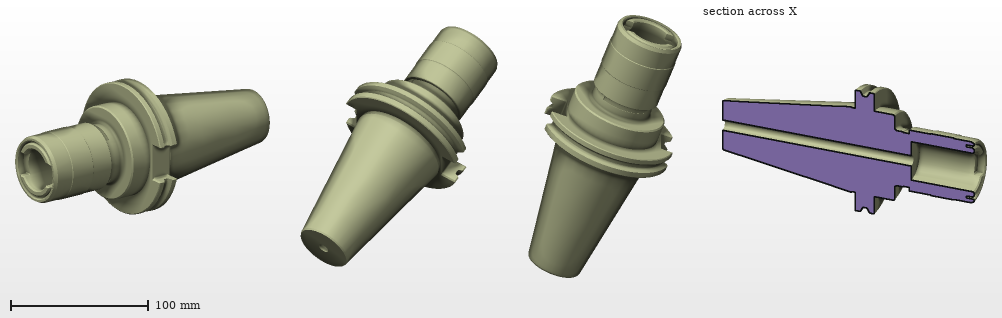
import cadquery as cq
import math

overall_length = 199.6

gauge_radius = 35.0
shank_length = 101.5
taper_rate = 7 / 48
tail_radius = gauge_radius - shank_length * taper_rate
tail_chamfer_length = 1.2
tail_chamfer_width = 0.5
relief_radius = 34.3
relief_depth = 1.2

cut_margin = 2.0

flange_radius = 49.1
flange_back = 3.2
flange_front = 19.0
flange_chamfer = 0.5
groove_radius = 45.3
groove_floor_back = 9.5
groove_floor_front = 12.8
groove_back = 7.8
groove_front = 15.0
groove_floor_fillet = 0.8
slot_half_width = 12.8
slot_edge_chamfer = 1.0
slot_floor_fillet = 1.0
left_slot_floor = 35.1
right_slot_floor = 37.7

hub_radius = 35.0
hub_front = 35.0
hub_chamfer = 1.0
neck_radius = 22.5
neck_fillet = 2.0
cam_start = 42.0
cam_drop = 0.8
cam_step_angle = 45.0

nose_depth = overall_length - shank_length
collar_radius = 25.0
collar_back = 46.3
collar_back_chamfer = 0.4
band_radius = 25.3
band_back = 63.0
band_front = 82.0
nose_chamfer_length = 2.4
nose_chamfer_width = 1.2
sleeve_radius = 23.4
sleeve_step = 0.2

recess_radius = 21.4
recess_depth = 6.2
recess_chamfer = 0.8
lug_radius = 20.2
lug_outer_chamfer = 1.2
lug_half_gap = 8.5
lug_edge_chamfer = 0.8
socket_radius = 15.4
socket_chamfer = 1.0
socket_depth = 49.9
coolant_radius = 4.0


def revolve_profile(points):
    """Revolve a (radius, depth) outline around the tool axis."""
    return (
        cq.Workplane("XY")
        .polyline([(radius, -depth) for radius, depth in points])
        .close()
        .revolve(360, (0, 0, 0), (0, 1, 0))
    )


def cylinder(radius, start, end):
    """A cylinder on the tool axis between two depths."""
    return cq.Workplane("XZ", origin=(0, -start, 0)).circle(radius).extrude(end - start)


def make_shank():
    chamfer_start = tail_chamfer_length - shank_length
    chamfer_radius = tail_radius + tail_chamfer_length * taper_rate
    return revolve_profile([
        (0, -shank_length),
        (chamfer_radius - tail_chamfer_width, -shank_length),
        (chamfer_radius, chamfer_start),
        (gauge_radius, 0),
        (relief_radius, relief_depth),
        (relief_radius, flange_back),
        (0, flange_back),
    ])


def drive_slot_cutter(side, floor):
    """A drive slot on the given side of X, rounded at its floor and bevelled where it breaks out."""
    rim_reach = math.sqrt(flange_radius**2 - slot_half_width**2)
    outside = flange_radius + cut_margin
    slot = (
        cq.Workplane("XZ", origin=(0, -flange_back, 0))
        .moveTo((floor + outside) / 2, 0)
        .rect(outside - floor, 2 * slot_half_width)
        .extrude(flange_front - flange_back)
        .edges("|Y and <X")
        .fillet(slot_floor_fillet)
    )

    bevel_inner = slot_half_width - slot_floor_fillet
    bevel_outer = slot_half_width + slot_edge_chamfer
    bevel_length = bevel_outer - bevel_inner
    for face, inward in ((flange_back, 1), (flange_front, -1)):
        inner_end = -(face + inward * bevel_length)
        face_bevel = (
            cq.Workplane("YZ", origin=(floor, 0, 0))
            .polyline([
                (-face, bevel_outer),
                (inner_end, bevel_inner),
                (inner_end, -bevel_inner),
                (-face, -bevel_outer),
            ])
            .close()
            .extrude(outside - floor)
        )
        slot = slot.union(face_bevel)

    mouth_start = rim_reach - slot_edge_chamfer
    mouth_half_width = slot_half_width + outside - mouth_start
    rim_bevel = (
        cq.Workplane("XZ", origin=(0, -flange_back, 0))
        .polyline([
            (mouth_start, slot_half_width),
            (outside, mouth_half_width),
            (outside, -mouth_half_width),
            (mouth_start, -slot_half_width),
        ])
        .close()
        .extrude(flange_front - flange_back)
    )
    slot = slot.union(rim_bevel)
    return slot if side > 0 else slot.mirror("YZ")


def gripper_groove_cutter():
    """A V-shaped ring groove with a flat, filleted floor."""
    groove = revolve_profile([
        (flange_radius, groove_back),
        (groove_radius, groove_floor_back),
        (groove_radius, groove_floor_front),
        (flange_radius, groove_front),
    ])
    return groove.edges(cq.selectors.RadiusNthSelector(0)).fillet(groove_floor_fillet)


def make_flange():
    flange = revolve_profile([
        (0, flange_back),
        (flange_radius - flange_chamfer, flange_back),
        (flange_radius, flange_back + flange_chamfer),
        (flange_radius, flange_front - flange_chamfer),
        (flange_radius - flange_chamfer, flange_front),
        (0, flange_front),
    ])
    flange = flange.cut(gripper_groove_cutter())
    flange = flange.cut(drive_slot_cutter(-1, left_slot_floor))
    return flange.cut(drive_slot_cutter(1, right_slot_floor))


def make_hub_and_neck():
    hub = cylinder(hub_radius, flange_front, hub_front).faces("<Y").chamfer(hub_chamfer)
    neck = (
        cq.Workplane("XY")
        .moveTo(0, -hub_front)
        .lineTo(neck_radius + neck_fillet, -hub_front)
        .radiusArc((neck_radius, -hub_front - neck_fillet), -neck_fillet)
        .lineTo(neck_radius, -collar_back)
        .lineTo(0, -collar_back)
        .close()
        .revolve(360, (0, 0, 0), (0, 1, 0))
    )
    return hub.union(neck)


def neck_cam_cutter():
    """Leaves an eccentric cam on the neck: deepest at its step, running out tangent to the neck at -X."""
    step_angle = math.radians(cam_step_angle)
    step_radius = neck_radius - cam_drop
    step_x = step_radius * math.cos(step_angle)
    step_z = step_radius * math.sin(step_angle)

    cam_centre = (step_radius**2 - neck_radius**2) / (2 * (step_x + neck_radius))
    cam_radius = neck_radius + cam_centre
    outer_x = collar_radius * math.cos(step_angle)
    outer_z = collar_radius * math.sin(step_angle)

    return (
        cq.Workplane("XZ", origin=(0, -cam_start, 0))
        .moveTo(step_x, step_z)
        .threePointArc((cam_centre, cam_radius), (-neck_radius, 0))
        .lineTo(-collar_radius, 0)
        .threePointArc((0, collar_radius), (outer_x, outer_z))
        .close()
        .extrude(collar_back - cam_start)
    )


def make_collar():
    nose_edge = nose_depth - sleeve_step
    band_step = band_radius - collar_radius
    return revolve_profile([
        (0, collar_back),
        (collar_radius - collar_back_chamfer, collar_back),
        (collar_radius, collar_back + collar_back_chamfer),
        (collar_radius, band_back),
        (band_radius, band_back + band_step),
        (band_radius, band_front - band_step),
        (collar_radius, band_front),
        (collar_radius, nose_edge - nose_chamfer_length),
        (collar_radius - nose_chamfer_width, nose_edge),
        (sleeve_radius, nose_edge),
        (sleeve_radius, nose_depth),
        (recess_radius + recess_chamfer, nose_depth),
        (recess_radius, nose_depth - recess_chamfer),
        (recess_radius, nose_depth - recess_depth),
        (0, nose_depth - recess_depth),
    ])


def make_lugs():
    """Two driving lugs on the recess floor at +Z and -Z, with a gap across X between them."""
    base = nose_depth - recess_depth
    disc = revolve_profile([
        (0, base),
        (lug_radius, base),
        (lug_radius, nose_depth - lug_outer_chamfer),
        (lug_radius - lug_outer_chamfer, nose_depth),
        (0, nose_depth),
    ])
    gap = (
        cq.Workplane("YZ", origin=(-lug_radius, 0, 0))
        .polyline([
            (-base, lug_half_gap - lug_edge_chamfer),
            (-base - lug_edge_chamfer, lug_half_gap),
            (-nose_depth + lug_edge_chamfer, lug_half_gap),
            (-nose_depth, lug_half_gap + lug_edge_chamfer),
            (-nose_depth, -lug_half_gap - lug_edge_chamfer),
            (-nose_depth + lug_edge_chamfer, -lug_half_gap),
            (-base - lug_edge_chamfer, -lug_half_gap),
            (-base, -lug_half_gap + lug_edge_chamfer),
        ])
        .close()
        .extrude(2 * lug_radius)
    )
    return disc.cut(gap)


def socket_cutter():
    """The blind bore inside the lugs, with its mouth chamfered."""
    return revolve_profile([
        (0, nose_depth),
        (socket_radius + socket_chamfer, nose_depth),
        (socket_radius, nose_depth - socket_chamfer),
        (socket_radius, nose_depth - socket_depth),
        (0, nose_depth - socket_depth),
    ])


body = make_shank().union(make_flange()).union(make_hub_and_neck())
for turn in (0, 180):
    body = body.cut(neck_cam_cutter().rotate((0, 0, 0), (0, 1, 0), turn))
body = body.union(make_collar()).union(make_lugs())
body = body.cut(socket_cutter())
result = body.cut(cylinder(coolant_radius, -shank_length, nose_depth))